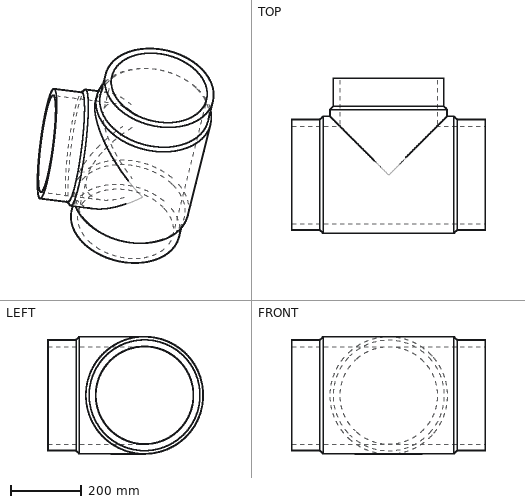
import cadquery as cq

run_length = 550.0
branch_reach = run_length / 2
body_diameter = 334.0
spigot_diameter = 315.0
bore_diameter = 277.0
spigot_length = 80.5
shoulder_chamfer = (body_diameter - spigot_diameter) / 2


def run_cylinder(diameter, length):
    """Solid cylinder on the X axis, centred on the tee."""
    return cq.Workplane("YZ").circle(diameter / 2).extrude(length / 2, both=True)


def branch_cylinder(diameter, length):
    """Solid cylinder on the Y axis, from the run axis towards +Y."""
    return cq.Workplane("XZ").circle(diameter / 2).extrude(-length)


run_body = run_cylinder(body_diameter, run_length - 2 * spigot_length)
run_body = run_body.faces("<X or >X").chamfer(shoulder_chamfer)
branch_body = branch_cylinder(body_diameter, branch_reach - spigot_length)
branch_body = branch_body.faces(">Y").chamfer(shoulder_chamfer)
body = run_body.union(branch_body)

run_spigots = run_cylinder(spigot_diameter, run_length)
branch_spigot = branch_cylinder(spigot_diameter, branch_reach)
outer = body.union(run_spigots).union(branch_spigot)

run_bore = run_cylinder(bore_diameter, run_length)
branch_bore = branch_cylinder(bore_diameter, branch_reach)
result = outer.cut(run_bore).cut(branch_bore)